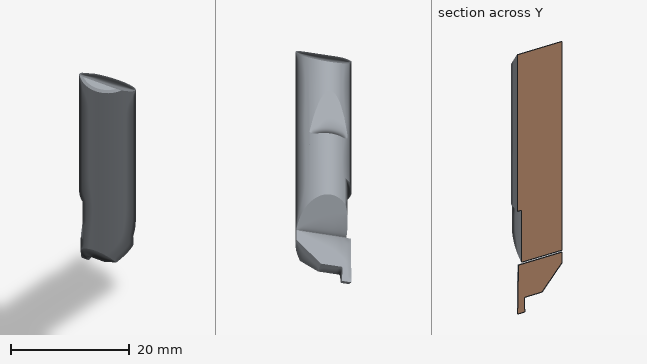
import cadquery as cq
import math

length = 50.8
radius = 4.8
outside = 2 * radius

top_slant_sum = 47.75
top_chamfer_width = 0.45
top_chamfer_height = 0.3

flat_end_y = 3.0
flat_end_x = -math.sqrt(radius**2 - flat_end_y**2)

notch_top_z = 36.75
notch_floor_y = 3.45
notch_floor_z = 28.45
notch_bottom_z = 27.55
notch_corner_radius = 0.85

pocket_bottom_z = 9.3
pocket_top_z = 19.05
pocket_floor_x = -3.9
pocket_floor_radius = 7.4

back_slant_top_z = 14.35
blade_back_y = 0.15
front_slant_top_z = 8.6
tip_front_y = -0.75
tip_relief_height = 0.15
shoulder_z = 3.0
shoulder_chamfer_top_z = 7.25
shoulder_corner_x = radius - (shoulder_chamfer_top_z - shoulder_z)
neck_x = -3.25
neck_corner_radius = 0.3
head_right_x = -3.1
blade_left_x = -4.55
side_relief_x = 1.15
side_relief_y = 3.3


def along_x(points):
    """Closed (Y, Z) outline swept across the whole bar."""
    return cq.Workplane("YZ").polyline(points).close().extrude(outside, both=True)


def make_shank():
    shank = cq.Workplane("XY").circle(radius).extrude(length)
    return shank.faces(">Z").chamfer(top_chamfer_height, top_chamfer_width)


def top_slant():
    return along_x([
        (top_slant_sum - length - outside, length + outside),
        (outside, top_slant_sum - outside),
        (outside, length + outside),
    ])


def coolant_flat():
    run_x = flat_end_x + radius
    outline = [
        (-radius - run_x, -flat_end_y),
        (flat_end_x + run_x, 2 * flat_end_y),
        (-outside, 2 * flat_end_y),
        (-outside, -flat_end_y),
    ]
    flat = cq.Workplane("XY").workplane(offset=pocket_top_z).polyline(outline).close()
    return flat.extrude(length)


def clamping_notch():
    slope_y = (radius - notch_floor_y) / (notch_top_z - notch_floor_z)
    corner_y = notch_floor_y - slope_y * (notch_floor_z - notch_bottom_z)
    notch = along_x([
        (radius, notch_top_z),
        (corner_y, notch_bottom_z),
        (outside, notch_bottom_z),
        (outside, notch_top_z),
    ])
    return notch.edges("|X").edges("<Y").fillet(notch_corner_radius)


def relief_pocket():
    height = pocket_top_z - pocket_bottom_z
    base = cq.Workplane("XY").workplane(offset=pocket_bottom_z)
    block = base.center(-outside / 2, 0).rect(outside, 2 * outside).extrude(height)
    floor = base.center(pocket_floor_x + pocket_floor_radius, 0).circle(pocket_floor_radius)
    return block.cut(floor.extrude(height))


def blade_back():
    return along_x([
        (outside, back_slant_top_z + outside - radius),
        (0, back_slant_top_z - radius),
        (0, pocket_bottom_z),
        (blade_back_y, pocket_bottom_z),
        (0, 0),
        (outside, 0),
    ])


def blade_front():
    return along_x([
        (-radius, front_slant_top_z),
        (tip_front_y, tip_relief_height),
        (0, 0),
        (0, -outside),
        (-outside, -outside),
        (-outside, front_slant_top_z),
    ])


def shoulder():
    """Clears the bar to the right of the narrow cutting head."""
    return (
        cq.Workplane("XZ")
        .moveTo(radius, shoulder_chamfer_top_z)
        .lineTo(shoulder_corner_x, shoulder_z)
        .lineTo(neck_x + neck_corner_radius, shoulder_z)
        .radiusArc((neck_x, shoulder_z - neck_corner_radius), -neck_corner_radius)
        .lineTo(head_right_x, 0)
        .lineTo(outside, 0)
        .lineTo(outside, shoulder_chamfer_top_z)
        .close()
        .extrude(outside, both=True)
    )


def side_relief():
    """Clears the left side; the cutting edge at Y = 0 leans outward toward the tip."""
    def outline(edge_x):
        return [
            (edge_x - side_relief_x, side_relief_y),
            (edge_x + 2 * side_relief_x, -2 * side_relief_y),
            (-outside, -2 * side_relief_y),
            (-outside, side_relief_y),
        ]

    relief = cq.Workplane("XY").polyline(outline(-radius)).close()
    relief = relief.workplane(offset=pocket_bottom_z).polyline(outline(blade_left_x)).close()
    return relief.loft(ruled=True)


cutters = [
    top_slant(),
    coolant_flat(),
    clamping_notch(),
    relief_pocket(),
    blade_back(),
    blade_front(),
    shoulder(),
    side_relief(),
]

result = make_shank()
for cutter in cutters:
    result = result.cut(cutter)